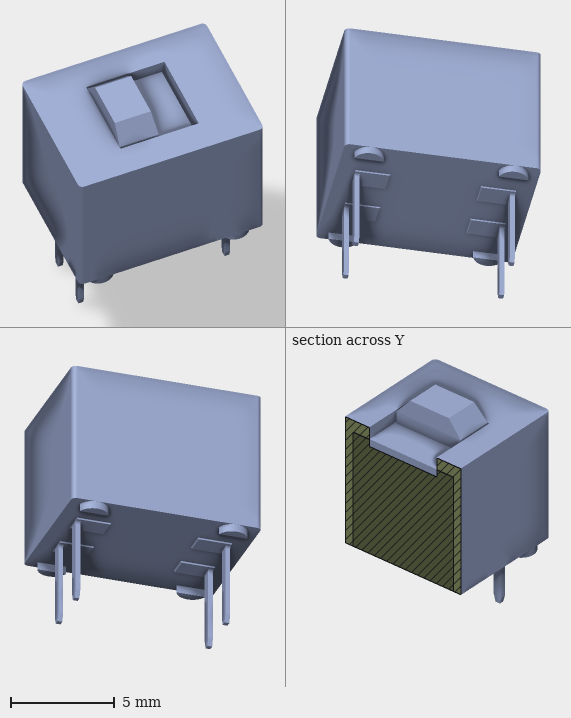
import cadquery as cq


TOTAL_HEIGHT = 12.32

COVER_WIDTH = 7.26
COVER_LENGTH = 9.65
COVER_HEIGHT = 7.23
CORNER_RADIUS = 0.25
WALL = 0.5
ROOF = 0.71
CAVITY_WIDTH = COVER_WIDTH - 2 * WALL
CAVITY_LENGTH = COVER_LENGTH - 2 * WALL
CAVITY_HEIGHT = COVER_HEIGHT - ROOF
WINDOW_WIDTH = 4.21
WINDOW_LENGTH = 4.09

FOOT_RADIUS = 0.78
FOOT_HEIGHT = 0.4
FOOT_Y = 3.55

POCKET_DEPTH = 0.37
POCKET_FLOOR = CAVITY_HEIGHT - POCKET_DEPTH
PLATE_RISE = 0.04
PLATE_TOP = CAVITY_HEIGHT + PLATE_RISE
PLATE_GAP = 0.14
PLATE_LENGTH = WINDOW_LENGTH - PLATE_GAP
PLATE_Y = -PLATE_GAP / 2
KNOB_WIDTH = 4.02
KNOB_LENGTH = WINDOW_LENGTH / 2
KNOB_Y = -WINDOW_LENGTH / 2 + KNOB_LENGTH / 2
KNOB_TOP_WIDTH = 2.41
KNOB_TOP_LENGTH = 1.88
KNOB_RISE = 0.9

PIN_WIDTH = 0.5
PIN_THICKNESS = 0.25
PIN_LENGTH = TOTAL_HEIGHT - COVER_HEIGHT - KNOB_RISE
PIN_X = 1.26
PIN_Y = 3.82
TIP_WIDTH = 0.27
TIP_LENGTH = 0.41
STRIP_WIDTH = 1.03
STRIP_DROP = 0.09
STRIP_INNER_Y = 2.22
STRIP_CHAMFER = 0.05
STRIP_OUTER_Y = PIN_Y + PIN_THICKNESS / 2
SHOULDER_RADIUS = 0.15


def block(width, length, bottom, top, y=0):
    """An upright block, centred on X = 0."""
    return (
        cq.Workplane("XY", origin=(0, y, bottom))
        .rect(width, length)
        .extrude(top - bottom)
    )


def make_foot(x_side, y_side):
    """A round disc tangent to the cover's side, cut off at the inner face of the wall."""
    disc_x = x_side * (COVER_WIDTH / 2 - FOOT_RADIUS)
    disc = (
        cq.Workplane("XY", origin=(disc_x, y_side * FOOT_Y, -FOOT_HEIGHT))
        .circle(FOOT_RADIUS)
        .extrude(FOOT_HEIGHT)
    )
    return disc.cut(block(CAVITY_WIDTH, COVER_LENGTH, -FOOT_HEIGHT, 0))


def make_cover():
    """The rounded box with feet, open below, with the window through its roof."""
    cover = block(COVER_WIDTH, COVER_LENGTH, 0, COVER_HEIGHT).edges("|Z").fillet(CORNER_RADIUS)
    for x_side in (-1, 1):
        for y_side in (-1, 1):
            cover = cover.union(make_foot(x_side, y_side))
    cavity = block(CAVITY_WIDTH, CAVITY_LENGTH, 0, CAVITY_HEIGHT)
    window = block(WINDOW_WIDTH, WINDOW_LENGTH, CAVITY_HEIGHT, COVER_HEIGHT)
    return cover.cut(cavity).cut(window)


def make_slider():
    """The plate and its knob, which is upright inside the window and tapered above it.

    The plate reaches just above the underside of the roof and ends short of the +Y wall.
    """
    plate = block(WINDOW_WIDTH, PLATE_LENGTH, POCKET_FLOOR, PLATE_TOP, PLATE_Y)
    stem = block(KNOB_WIDTH, KNOB_LENGTH, PLATE_TOP, COVER_HEIGHT, KNOB_Y)
    knob = (
        cq.Workplane("XY", origin=(0, KNOB_Y, COVER_HEIGHT))
        .rect(KNOB_WIDTH, KNOB_LENGTH)
        .workplane(offset=KNOB_RISE)
        .rect(KNOB_TOP_WIDTH, KNOB_TOP_LENGTH)
        .loft(ruled=True)
    )
    return plate.union(stem).union(knob)


def make_terminal(x, y_side):
    """A pin with filleted shoulders and a tapered tip, and the strip that runs inward from it."""
    half_pin = PIN_WIDTH / 2
    fillet_end = half_pin + SHOULDER_RADIUS
    half_tip = TIP_WIDTH / 2
    pin = (
        cq.Workplane("XZ", origin=(x, y_side * PIN_Y, 0))
        .moveTo(-fillet_end, 0)
        .lineTo(-fillet_end, -STRIP_DROP)
        .radiusArc((-half_pin, -STRIP_DROP - SHOULDER_RADIUS), SHOULDER_RADIUS)
        .lineTo(-half_pin, TIP_LENGTH - PIN_LENGTH)
        .lineTo(-half_tip, -PIN_LENGTH)
        .lineTo(half_tip, -PIN_LENGTH)
        .lineTo(half_pin, TIP_LENGTH - PIN_LENGTH)
        .lineTo(half_pin, -STRIP_DROP - SHOULDER_RADIUS)
        .radiusArc((fillet_end, -STRIP_DROP), SHOULDER_RADIUS)
        .lineTo(fillet_end, 0)
        .close()
        .extrude(PIN_THICKNESS / 2, both=True)
    )
    strip_length = STRIP_OUTER_Y - STRIP_INNER_Y
    strip_y = y_side * (STRIP_OUTER_Y + STRIP_INNER_Y) / 2
    inner_face = "<Y" if y_side > 0 else ">Y"
    strip = (
        block(STRIP_WIDTH, strip_length, -STRIP_DROP, 0, strip_y)
        .faces(inner_face)
        .edges("<Z")
        .chamfer(STRIP_CHAMFER)
        .translate((x, 0, 0))
    )
    return pin.union(strip)


def make_base():
    """The block that fills the cover, with a pocket for the slider's plate and four terminals."""
    pocket = block(WINDOW_WIDTH, WINDOW_LENGTH, POCKET_FLOOR, CAVITY_HEIGHT)
    base = block(CAVITY_WIDTH, CAVITY_LENGTH, 0, CAVITY_HEIGHT).cut(pocket)
    for x in (-PIN_X, PIN_X):
        for y_side in (-1, 1):
            base = base.union(make_terminal(x, y_side))
    return base


cover = make_cover()
slider = make_slider()
base = make_base()

result = cq.Compound.makeCompound([cover.val(), slider.val(), base.val()])